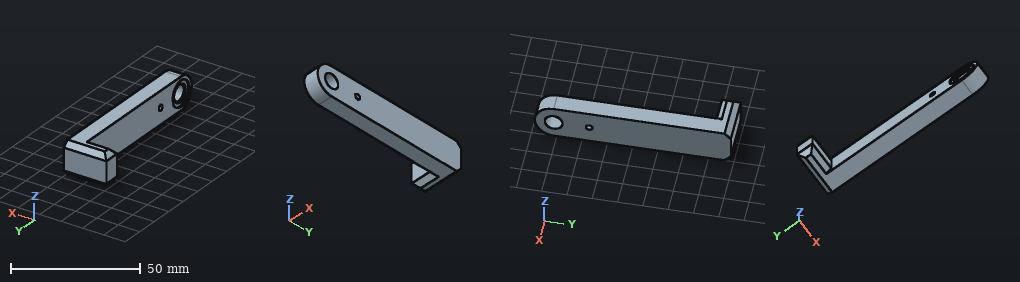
import cadquery as cq

length = 77.5
hook_reach = 20.0
width = 15.0
thickness = 7.5
hook_chamfer = 2.5

bore_diameter = 7.0
bore_chamfer = 0.55
recess_diameter = 11.55
recess_depth = 0.5

pin_diameter = 2.5
pin_to_pivot = 14.0

end_radius = width / 2
hook_end_y = length - end_radius
hook_length = hook_reach - thickness
cut_margin = 0.8


def box_between(x_min, x_max, y_min, y_max):
    """Full-width block, centred on Z = 0."""
    block = cq.Workplane("XY").box(x_max - x_min, y_max - y_min, width)
    return block.translate(((x_min + x_max) / 2, (y_min + y_max) / 2, 0))


def cylinder_along_x(diameter, y, x_start, x_length):
    plane = cq.Workplane("YZ", origin=(x_start, y, 0))
    return plane.circle(diameter / 2).extrude(x_length)


def make_arm():
    """Bar with a rounded pivot end and a chamfered far end."""
    bar = box_between(0, thickness, 0, hook_end_y)
    bar = bar.faces(">Y").edges("|X").chamfer(hook_chamfer)
    return bar.union(cylinder_along_x(width, 0, 0, thickness))


def make_hook():
    """Block with sloped sides all round its top and bottom, except where it meets the arm."""
    hook = box_between(-hook_length, thickness, hook_end_y - thickness, hook_end_y)
    return hook.faces("<Z or >Z").edges("|X or <X").chamfer(hook_chamfer)


def make_pivot_cut():
    """Through bore with a recess and a conical lead-in on the hook side."""
    bore = cylinder_along_x(bore_diameter, 0, -cut_margin, thickness + 2 * cut_margin)
    recess = cylinder_along_x(recess_diameter, 0, -cut_margin, cut_margin + recess_depth)
    lead_in = cq.Workplane("XY").add(
        cq.Solid.makeCone(
            bore_diameter / 2 + bore_chamfer,
            bore_diameter / 2,
            bore_chamfer,
            pnt=cq.Vector(recess_depth, 0, 0),
            dir=cq.Vector(1, 0, 0),
        )
    )
    return bore.union(recess).union(lead_in)


pin_cut = cylinder_along_x(pin_diameter, pin_to_pivot, -cut_margin, thickness + 2 * cut_margin)
result = make_arm().union(make_hook()).cut(make_pivot_cut()).cut(pin_cut)